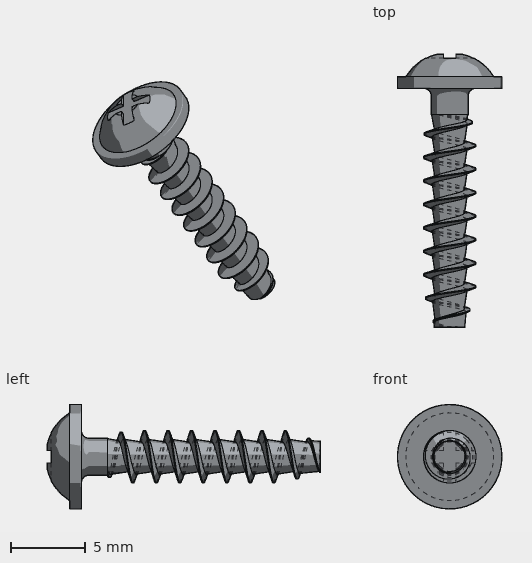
import cadquery as cq
import math


total_length = 18.3
head_height = 2.3
flange_radius = 7.0 / 2
flange_thickness = 0.8
flange_edge_radius = 0.05
dome_base_radius = 2.95
dome_flat_radius = 0.92
dome_mid_radius = 2.05
dome_mid_drop = 0.53
slot_width = 0.82
slot_depth = 0.27

shank_radius = 1.25
shank_length = 1.74
shank_fillet = 0.5
neck_radius = 1.23
neck_length = 1.72
core_radius = 0.9
tip_y = head_height - total_length
tip_dish_radius = 0.9
tip_dish_depth = 0.07

pitch = 1.57
thread_start_y = -1.46
crest_radius = 1.75
crest_start_radius = 1.23
crest_half_width = 0.04
full_crest_turn = 1.25
runout_start_turn = 7.75
runout_end_turn = 9.1
end_turn = 9.4
crest_end_radius = 1.06
thread_turns = [0, full_crest_turn, runout_start_turn, runout_end_turn, end_turn]
points_per_turn = 24

wide_root_radius = 1.17
wide_root_end_radius = 1.05
narrow_root_radius = 1.0
root_half_width = 0.24
wide_flank_slope = (root_half_width - crest_half_width) / (crest_radius - wide_root_radius)
narrow_flank_slope = (root_half_width - crest_half_width) / (crest_radius - narrow_root_radius)

tooth_base_radius = 0.82
taper_base_radius = 0.73
overlap = 0.22


def make_body():
    """Head, shank, neck and core as one revolved profile."""
    profile = (
        cq.Workplane("XY")
        .moveTo(0, head_height)
        .lineTo(dome_flat_radius, head_height)
        .threePointArc(
            (dome_mid_radius, head_height - dome_mid_drop),
            (dome_base_radius, flange_thickness),
        )
        .lineTo(flange_radius - flange_edge_radius, flange_thickness)
        .radiusArc((flange_radius, flange_thickness - flange_edge_radius), flange_edge_radius)
        .lineTo(flange_radius, flange_edge_radius)
        .radiusArc((flange_radius - flange_edge_radius, 0), flange_edge_radius)
        .lineTo(shank_radius + shank_fillet, 0)
        .radiusArc((shank_radius, -shank_fillet), -shank_fillet)
        .lineTo(shank_radius, -shank_length)
        .lineTo(neck_radius, -shank_length)
        .lineTo(core_radius, -shank_length - neck_length)
        .lineTo(core_radius, tip_y)
        .lineTo(0, tip_y)
        .close()
    )
    return profile.revolve(360, (0, 0, 0), (0, 1, 0))


def cut_cross_slot(body):
    """Two crossing slots over the top of the dome."""
    length = 2 * flange_radius
    middle_y = head_height - slot_depth / 2
    for size_x, size_z in ((slot_width, length), (length, slot_width)):
        slot = cq.Workplane("XY").box(size_x, slot_depth, size_z)
        body = body.cut(slot.translate((0, middle_y, 0)))
    return body


def runout_at(turn):
    """How far the thread has run out near the tip: 0 is a full tooth, 1 is none."""
    progress = (turn - runout_start_turn) / (runout_end_turn - runout_start_turn)
    return min(1, max(0, progress))


def crest_at(turn):
    """The crest rises out of the shank, runs level, then falls into the core at the tip."""
    if turn < full_crest_turn:
        rise = math.sin(math.pi / 2 * turn / full_crest_turn)
        return crest_start_radius + (crest_radius - crest_start_radius) * rise
    return crest_radius + (crest_end_radius - crest_radius) * runout_at(turn)


def wide_root_at(turn):
    """The wide root shrinks as the thread runs out."""
    return wide_root_radius + (wide_root_end_radius - wide_root_radius) * runout_at(turn)


def tooth_section(turn):
    """Corners (radius, offset along Y) of the tooth, which sinks without changing its flanks."""
    crest = crest_at(turn)
    depth = crest - tooth_base_radius
    return [
        (tooth_base_radius, crest_half_width + narrow_flank_slope * depth),
        (crest, crest_half_width),
        (crest, -crest_half_width),
        (tooth_base_radius, -crest_half_width - wide_flank_slope * depth),
    ]


def taper_section(turn):
    """Corners (radius, offset along Y) of the tapered shank between two teeth."""
    wide_root = wide_root_at(turn)
    slope = (wide_root - narrow_root_radius) / (pitch - 2 * root_half_width)
    wide_end = overlap - root_half_width
    narrow_end = root_half_width - pitch - overlap
    return [
        (taper_base_radius, wide_end),
        (wide_root + slope * overlap, wide_end),
        (narrow_root_radius - slope * overlap, narrow_end),
        (taper_base_radius, narrow_end),
    ]


def helix_points(section, turn):
    """Corners of a section in space, at a given turn along the thread."""
    angle = 2 * math.pi * turn
    middle_y = thread_start_y - pitch * turn
    return [
        cq.Vector(-radius * math.cos(angle), middle_y + offset, -radius * math.sin(angle))
        for radius, offset in section(turn)
    ]


def helix_edges(section, first_turn, last_turn):
    """One curve through each corner of a section, over a stretch of the thread."""
    steps = math.ceil((last_turn - first_turn) * points_per_turn)
    turns = [first_turn + (last_turn - first_turn) * i / steps for i in range(steps + 1)]
    corner_paths = zip(*[helix_points(section, turn) for turn in turns])
    return [cq.Edge.makeSpline(list(path)) for path in corner_paths]


def make_helical_solid(section):
    """Closed solid that carries a section along the whole thread."""
    faces = []
    for turn in (thread_turns[0], thread_turns[-1]):
        outline = cq.Wire.makePolygon(helix_points(section, turn), close=True)
        faces.append(cq.Face.makeFromWires(outline))
    for first_turn, last_turn in zip(thread_turns, thread_turns[1:]):
        edges = helix_edges(section, first_turn, last_turn)
        for i, edge in enumerate(edges):
            faces.append(cq.Face.makeRuledSurface(edges[i - 1], edge))
    return cq.Workplane(cq.Solid.makeSolid(cq.Shell.makeShell(faces)))


def trim_to_shank(helical_solid):
    """Keep what lies between the end of the plain shank and the tip."""
    trim = (
        cq.Workplane("XZ", origin=(0, -shank_length, 0))
        .circle(flange_radius)
        .extrude(-shank_length - tip_y)
    )
    return trim.intersect(helical_solid)


def cut_tip_dish(screw):
    """Shallow spherical hollow in the end face of the tip."""
    ball_radius = (tip_dish_radius**2 + tip_dish_depth**2) / (2 * tip_dish_depth)
    ball_y = tip_y + tip_dish_depth - ball_radius
    return screw.cut(cq.Workplane("XY").sphere(ball_radius).translate((0, ball_y, 0)))


result = cut_cross_slot(make_body())
for thread_section in (taper_section, tooth_section):
    result = result.union(trim_to_shank(make_helical_solid(thread_section)))
result = cut_tip_dish(result).solids()